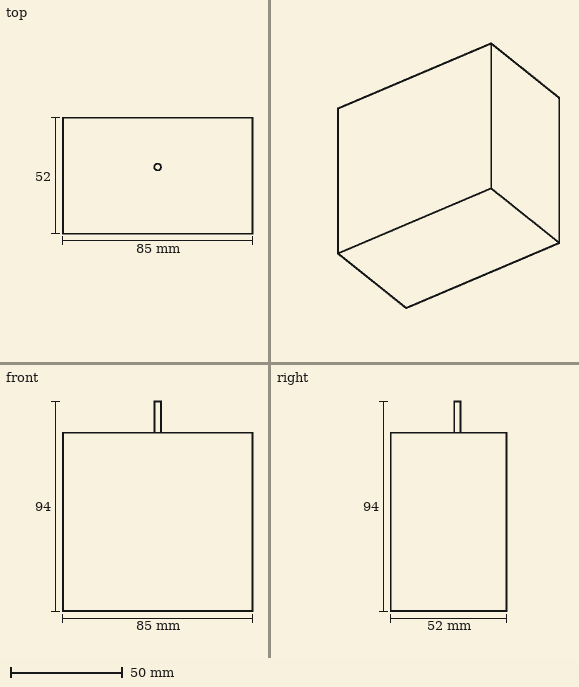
import cadquery as cq

body_width = 85.0
body_depth = 52.0
body_height = 80.0

pin_diameter = 3.0
pin_length = 14.0
pin_offset_y = 3.9


def make_body():
    """Plain block centred on X and Y, with its base at Z = 0."""
    return cq.Workplane("XY").box(
        body_width, body_depth, body_height, centered=(True, True, False)
    )


def add_pin(body):
    """Join the upright pin to the top face of the block."""
    return (
        body.faces(">Z")
        .workplane(origin=(0, 0, body_height))
        .center(0, pin_offset_y)
        .circle(pin_diameter / 2)
        .extrude(pin_length)
    )


result = add_pin(make_body())